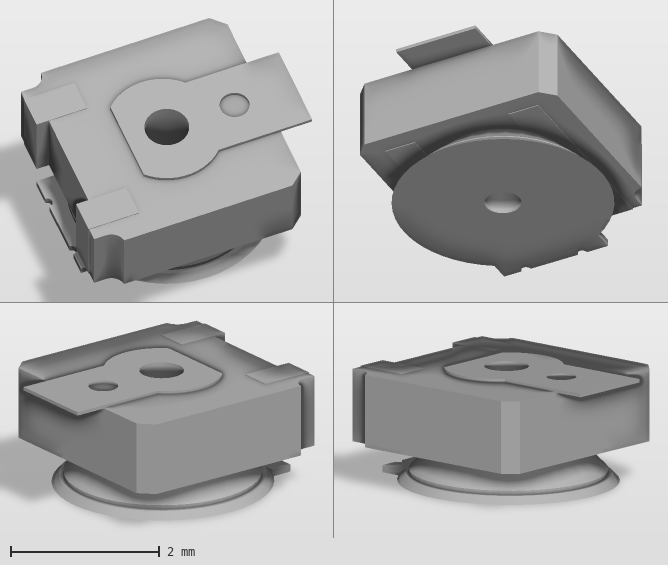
import cadquery as cq


BLOCK_SIDE = 2.995
BLOCK_HEIGHT = 1.0
HALF_SIDE = BLOCK_SIDE / 2
CENTERLINE_X = 0.01
CORNER_HALF_SPAN = 1.318
BACK_CHAMFER = 0.19
CORNER_SCOOP_RADIUS = 0.2
FRONT_STEP = 0.17
BORE_DIAMETER = 0.602
BORE_Y = 0.09

LUG_THICKNESS = 0.05
LUG_HALF_WIDTH = 1.2 / 2
LUG_OVERHANG = 0.453
LUG_BACK_Y = HALF_SIDE + LUG_OVERHANG
LUG_NECK_Y = 0.6
LUG_FRONT_Y = -0.49
LUG_HEAD_HALF_WIDTH = 0.83
LUG_HOLE_DIAMETER = 0.4
LUG_HOLE_Y = 1.073

STRAP_THICKNESS = 0.01
STRAP_WIDTH = 0.45
STRAP_SPACING = 1.872
STRAP_MIDDLE_X = -0.007
STRAP_TOP_REACH = 0.723
STRAP_BOTTOM_REACH = 2.735
STRAP_XS = [STRAP_MIDDLE_X + side * STRAP_SPACING / 2 for side in (-1, 1)]
RECESS_WIDTH = STRAP_SPACING - STRAP_WIDTH

ROTOR_X = -0.035
ROTOR_Y = 0.097
ROTOR_TILT = -0.3
ROTOR_TURN = 0.5
FLANGE_RADIUS = 1.498
FLANGE_THICKNESS = 0.1
FLANGE_TOP_RADIUS = FLANGE_RADIUS - FLANGE_THICKNESS
COLLAR_RADIUS = 1.342
COLLAR_HEIGHT = 0.06
FLANGE_BOTTOM_Z = -0.525
COLLAR_BOTTOM_Z = FLANGE_BOTTOM_Z + FLANGE_THICKNESS
COLLAR_TOP_Z = COLLAR_BOTTOM_Z + COLLAR_HEIGHT
CONE_TOP_Z = 0.035
CONE_TOP_RADIUS = COLLAR_RADIUS - (CONE_TOP_Z - COLLAR_TOP_Z)
ROTOR_BORE_RADIUS = 0.5 / 2

PLATE_WIDTH = 1.57
PLATE_DEPTH = 0.305
PLATE_FRONT_REACH = 1.56
NOTCH_RADIUS = 0.07
NOTCH_SPACING = 0.85
NOTCH_MIDDLE_X = 0.028


def make_block():
    back_y = HALF_SIDE
    front_y = -HALF_SIDE
    chamfer_end_y = back_y - BACK_CHAMFER
    block = (
        cq.Workplane("XY")
        .polyline(
            [
                (-HALF_SIDE, front_y),
                (HALF_SIDE, front_y),
                (HALF_SIDE, chamfer_end_y),
                (CENTERLINE_X + CORNER_HALF_SPAN, back_y),
                (CENTERLINE_X - CORNER_HALF_SPAN, back_y),
                (-HALF_SIDE, chamfer_end_y),
            ]
        )
        .close()
        .extrude(BLOCK_HEIGHT)
    )

    scoop_offset = CORNER_HALF_SPAN + CORNER_SCOOP_RADIUS
    for side in (-1, 1):
        x = CENTERLINE_X + side * scoop_offset
        scoop = (
            cq.Workplane("XY", origin=(x, front_y + FRONT_STEP, 0))
            .circle(CORNER_SCOOP_RADIUS)
            .extrude(BLOCK_HEIGHT)
        )
        notch = (
            cq.Workplane("XY", origin=(x, front_y + FRONT_STEP / 2, 0))
            .rect(2 * CORNER_SCOOP_RADIUS, FRONT_STEP)
            .extrude(BLOCK_HEIGHT)
        )
        block = block.cut(scoop).cut(notch)

    recess = (
        cq.Workplane("XY", origin=(STRAP_MIDDLE_X, front_y + FRONT_STEP / 2, 0))
        .rect(RECESS_WIDTH, FRONT_STEP)
        .extrude(BLOCK_HEIGHT)
    )
    return block.cut(recess)


def make_lug():
    left = CENTERLINE_X - LUG_HALF_WIDTH
    right = CENTERLINE_X + LUG_HALF_WIDTH
    head_y = (LUG_NECK_Y + LUG_FRONT_Y) / 2
    return (
        cq.Workplane("XY", origin=(0, 0, BLOCK_HEIGHT))
        .moveTo(left, LUG_BACK_Y)
        .lineTo(left, LUG_NECK_Y)
        .threePointArc((CENTERLINE_X - LUG_HEAD_HALF_WIDTH, head_y), (left, LUG_FRONT_Y))
        .lineTo(right, LUG_FRONT_Y)
        .threePointArc((CENTERLINE_X + LUG_HEAD_HALF_WIDTH, head_y), (right, LUG_NECK_Y))
        .lineTo(right, LUG_BACK_Y)
        .close()
        .extrude(LUG_THICKNESS)
        .cut(
            cq.Workplane("XY", origin=(0, LUG_HOLE_Y, BLOCK_HEIGHT))
            .circle(LUG_HOLE_DIAMETER / 2)
            .extrude(LUG_THICKNESS)
        )
    )


def make_strap(x):
    """C-shaped band lying on the top, front and underside of the block."""
    front = -HALF_SIDE
    outer_front = front - STRAP_THICKNESS
    top = BLOCK_HEIGHT
    return (
        cq.Workplane("YZ", origin=(x, 0, 0))
        .polyline(
            [
                (front + STRAP_TOP_REACH, top),
                (front + STRAP_TOP_REACH, top + STRAP_THICKNESS),
                (outer_front, top + STRAP_THICKNESS),
                (outer_front, -STRAP_THICKNESS),
                (front + STRAP_BOTTOM_REACH, -STRAP_THICKNESS),
                (front + STRAP_BOTTOM_REACH, 0),
                (front, 0),
                (front, top),
            ]
        )
        .close()
        .extrude(STRAP_WIDTH / 2, both=True)
    )


def make_housing():
    housing = make_block().union(make_lug())
    for x in STRAP_XS:
        housing = housing.union(make_strap(x))
    bore = (
        cq.Workplane("XY", origin=(0, BORE_Y, 0))
        .circle(BORE_DIAMETER / 2)
        .extrude(BLOCK_HEIGHT + LUG_THICKNESS)
    )
    return housing.cut(bore)


def make_plate():
    plate = (
        cq.Workplane("XY", origin=(0, 0, FLANGE_BOTTOM_Z))
        .center(0, -PLATE_FRONT_REACH + PLATE_DEPTH / 2)
        .rect(PLATE_WIDTH, PLATE_DEPTH)
        .extrude(FLANGE_THICKNESS)
    )
    for side in (-1, 1):
        notch = (
            cq.Workplane("XY", origin=(0, 0, FLANGE_BOTTOM_Z))
            .center(NOTCH_MIDDLE_X + side * NOTCH_SPACING / 2, -PLATE_FRONT_REACH)
            .circle(NOTCH_RADIUS)
            .extrude(FLANGE_THICKNESS)
        )
        plate = plate.cut(notch)
    return plate


def make_rotor(housing):
    profile = [
        (-ROTOR_BORE_RADIUS, FLANGE_BOTTOM_Z),
        (-FLANGE_RADIUS, FLANGE_BOTTOM_Z),
        (-FLANGE_TOP_RADIUS, COLLAR_BOTTOM_Z),
        (-COLLAR_RADIUS, COLLAR_BOTTOM_Z),
        (-COLLAR_RADIUS, COLLAR_TOP_Z),
        (-CONE_TOP_RADIUS, CONE_TOP_Z),
        (-ROTOR_BORE_RADIUS, CONE_TOP_Z),
    ]
    rotor = cq.Workplane("YZ").polyline(profile).close().revolve(360, (0, 0), (0, 1))
    rotor = (
        rotor.union(make_plate())
        .rotate((0, 0, 0), (0, 0, 1), ROTOR_TURN)
        .rotate((0, 0, 0), (1, 0, 0), ROTOR_TILT)
        .translate((ROTOR_X, ROTOR_Y, 0))
    )
    above_underside = cq.Workplane("XY").rect(BLOCK_SIDE, BLOCK_SIDE).extrude(BLOCK_HEIGHT)
    return rotor.cut(above_underside).cut(housing)


housing = make_housing()
rotor = make_rotor(housing)

result = cq.Compound.makeCompound([housing.val(), rotor.val()])